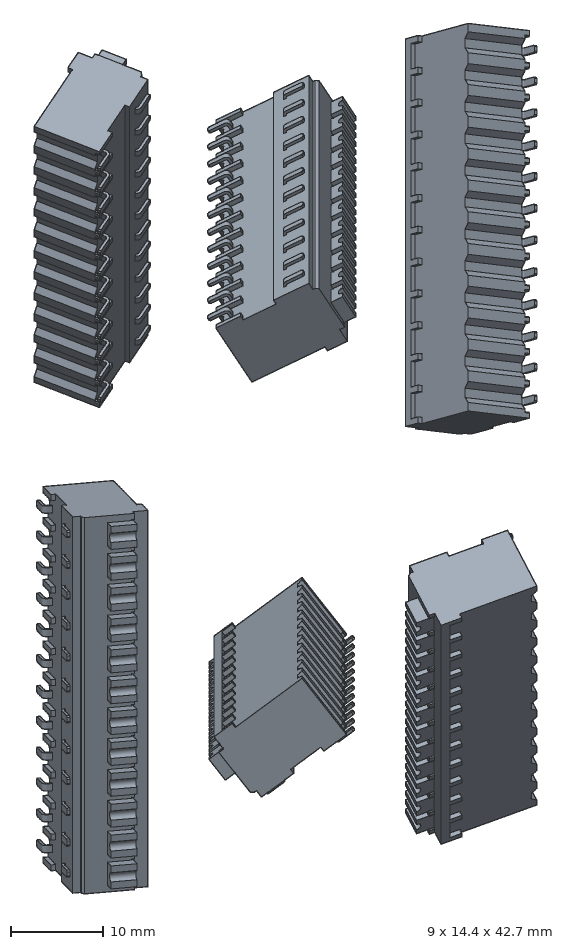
import cadquery as cq

pole_count = 12
pitch = 3.5
rib_width = 0.7
height = pole_count * pitch + rib_width
first_pole_z = (rib_width + pitch) / 2
pole_centers = [first_pole_z + i * pitch for i in range(pole_count)]

plate_x = 0
body_x_min = 0.55
hood_x_min = 1.7
web_x_min = 7.95
body_x_max = 8.5
body_y_min = 0.73
plate_y_max = 12.3
hood_y_max = 12.95
hood_x_max = 7.6
hood_bevel_x = 0.25
hood_bevel_y = 0.35
plate_y_min = 9.8
lower_foot_y_max = 3.8
upper_foot_y_min = 7.9

window_height = pitch - rib_width
window_y_max = 11.25
hood_recess = 0.3

groove_depth = 0.65
groove_floor = 1.02
groove_mouth = groove_floor + 2 * groove_depth

pocket_height = 3.07
web_bevel = 0.13

button_x_min = 1.85
button_x_max = 4.8
button_y_max = 14.4
button_height = 2.6
notch_radius = 0.5

pin_width = 0.8
pin_thickness = 0.35
pin_x_max = 9.0
pin_bend_inner = 0.2
pin_tip_chamfer = 0.15
pin_embed = 0.2
lower_tip_y = 0
lower_arm_y = 2.55
upper_tip_y = 11.85
upper_arm_y = 9.2


def box(x_range, y_range, z_range):
    """Box spanning the given (min, max) ranges."""
    size = [high - low for low, high in (x_range, y_range, z_range)]
    corner = (x_range[0], y_range[0], z_range[0])
    return cq.Workplane("XY").box(*size, centered=False).translate(corner)


def around(center, width):
    """Range of the given width about a center."""
    return (center - width / 2, center + width / 2)


def make_housing():
    outline = [
        (body_x_min, body_y_min),
        (body_x_max, body_y_min),
        (body_x_max, lower_foot_y_max),
        (web_x_min, lower_foot_y_max),
        (web_x_min, upper_foot_y_min),
        (body_x_max, upper_foot_y_min),
        (body_x_max, plate_y_max),
        (hood_x_max, plate_y_max),
        (hood_x_max, hood_y_max - hood_bevel_y),
        (hood_x_max - hood_bevel_x, hood_y_max),
        (hood_x_min, hood_y_max),
        (hood_x_min, plate_y_max),
        (plate_x, plate_y_max),
        (plate_x, plate_y_min),
        (body_x_min, plate_y_min),
    ]
    return cq.Workplane("XY").polyline(outline).close().extrude(height)


def make_groove(z):
    groove_y = body_y_min + groove_depth
    outline = [
        (body_y_min, z - groove_mouth / 2),
        (body_y_min, z + groove_mouth / 2),
        (groove_y, z + groove_floor / 2),
        (groove_y, z - groove_floor / 2),
    ]
    return cq.Workplane("YZ").polyline(outline).close().extrude(body_x_max)


def make_pocket(z):
    """Pocket through the lower foot, with its mouth flared on both sides."""
    half = pocket_height / 2
    inner_half = half - web_bevel
    outline = [
        (body_y_min, z - half),
        (body_y_min, z + half),
        (body_y_min + web_bevel, z + inner_half),
        (lower_foot_y_max, z + inner_half),
        (lower_foot_y_max, z - inner_half),
        (body_y_min + web_bevel, z - inner_half),
    ]
    pocket = cq.Workplane("YZ").workplane(offset=web_x_min).polyline(outline).close()
    return pocket.extrude(body_x_max - web_x_min)


def make_comb_window(z):
    z_range = around(z, window_height)
    window = box((plate_x, body_x_min), (plate_y_min, window_y_max), z_range)
    recess = box((hood_x_min, hood_x_min + hood_recess), (plate_y_max, hood_y_max), z_range)
    return window.union(recess)


def make_button(z):
    block = box((button_x_min, button_x_max), (plate_y_max, button_y_max), around(z, button_height))
    notch = cq.Workplane("YZ").center(button_y_max, z).circle(notch_radius).extrude(button_x_max)
    return block.cut(notch)


def make_pin(z, tip_y, arm_y):
    """Pin whose arm leaves the housing with its outer face at arm_y and bends toward tip_y."""
    toward_tip = 1 if tip_y > arm_y else -1
    bend_outer = pin_bend_inner + pin_thickness
    bend_x = pin_x_max - bend_outer
    bend_y = arm_y + toward_tip * bend_outer
    inner_x = pin_x_max - pin_thickness
    arm_inner_y = arm_y + toward_tip * pin_thickness
    root_x = web_x_min - pin_embed
    profile = (
        cq.Workplane("XY")
        .workplane(offset=z - pin_width / 2)
        .moveTo(root_x, arm_y)
        .lineTo(bend_x, arm_y)
        .tangentArcPoint((pin_x_max, bend_y), relative=False)
        .lineTo(pin_x_max, tip_y)
        .lineTo(inner_x, tip_y)
        .lineTo(inner_x, bend_y)
        .tangentArcPoint((bend_x, arm_inner_y), relative=False)
        .lineTo(root_x, arm_inner_y)
        .close()
    )
    tip_face = ">Y" if toward_tip > 0 else "<Y"
    return profile.extrude(pin_width).faces(tip_face).edges("|X").chamfer(pin_tip_chamfer)


result = make_housing()
for pole_z in pole_centers:
    result = result.cut(make_groove(pole_z))
    result = result.cut(make_pocket(pole_z))
    result = result.cut(make_comb_window(pole_z))
for pole_z in pole_centers:
    result = result.union(make_button(pole_z))
    result = result.union(make_pin(pole_z, lower_tip_y, lower_arm_y))
    result = result.union(make_pin(pole_z, upper_tip_y, upper_arm_y))